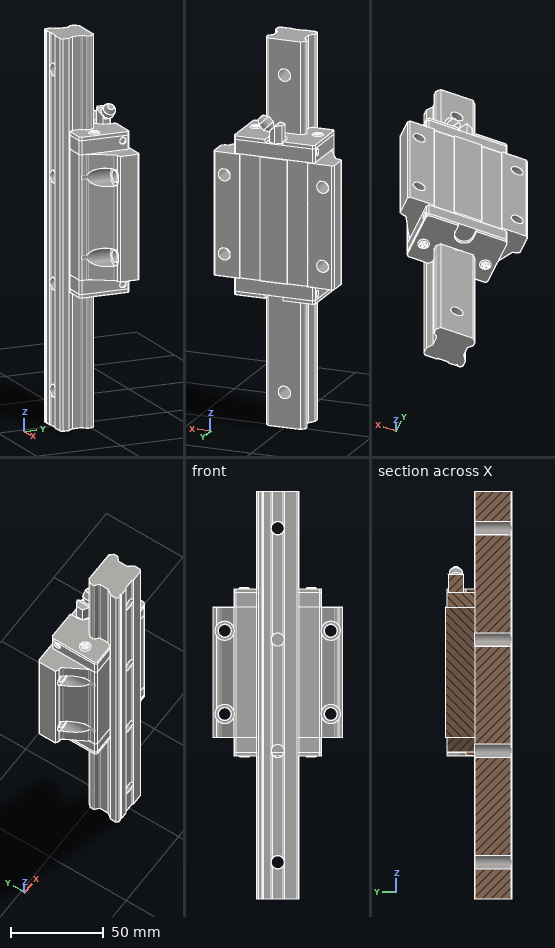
import cadquery as cq
import math


rail_length = 220.0
rail_height = 20.2
rail_half_width = 11.5
rail_top_half_width = 9.5
rail_waist_half_width = 9.0
rail_base_chamfer = 1.0
base_side_top_y = 4.6
waist_bottom_y = 8.0
waist_top_y = 13.5
head_side_bottom_y = 15.6
head_side_top_y = 18.0
head_corner_radius = 0.9
rail_waist_radius = 1.0

rail_hole_diameter = 7.0
rail_hole_count = 4
rail_hole_pitch = 60.0

base_groove_half_width = 3.5
base_groove_floor_half_width = 2.9
base_groove_depth = 0.55
mark_x = -8.1
mark_half_width = 0.5
mark_depth = 0.7

carriage_z = 12.3
block_length = 70.5
block_back_y = 36.0
flange_half_width = 35.0
flange_bottom_y = 23.5
flange_toe_half_width = 31.2
body_half_width = 23.5
body_bottom_y = 5.7
flank_bottom_y = 10.1
edge_chamfer = 1.0
flange_bottom_chamfer_width = 2.0
flank_top_radius = 1.8
flank_bottom_radius = 1.8

relief_inner_x = 8.0
relief_outer_x = 19.8
relief_depth = 0.7

mount_hole_x = 28.5
mount_hole_half_pitch = 22.5
mount_hole_diameter = 6.8
spotface_diameter = 10.3
spotface_floor_y = flange_bottom_y + 0.5

cap_length = 8.0
cap_back_y = 35.2
cap_corner_chamfer = 1.0
side_hole_diameter = 3.7
side_hole_y = 31.2
side_hole_depth = 1.0
side_hole_inset = 5.0

seal_thickness = 2.0
screw_x = 18.0
screw_y = 16.7
screw_radius = 3.0
screw_top_radius = 2.2
screw_height = 0.7
cross_length = 3.0
cross_width = 0.9

nipple_y = 30.4
nipple_notch_radius = 5.3
hex_corner_radius = 4.2
hex_height = 8.0
spout_start_height = 1.0
spout_neck_radius = 1.8
spout_head_radius = 3.5
spout_tip_radius = 1.8
spout_neck_end = 4.8
spout_head_start = 7.3
spout_head_end = 11.0
spout_length = 13.6

block_half_length = block_length / 2
seal_inner_offset = block_half_length + cap_length
seal_outer_offset = seal_inner_offset + seal_thickness


def mirrored_outline(half):
    """Close a right-hand outline with its mirror image about the YZ plane."""
    return half + [(-x, y) for x, y in reversed(half)]


def extrude_outline(half, z_start, length):
    plane = cq.Workplane("XY").workplane(offset=z_start)
    return plane.polyline(mirrored_outline(half)).close().extrude(length)


def y_cylinder(x, z, radius, y_start, y_end):
    return cq.Workplane(cq.Solid.makeCylinder(
        radius, y_end - y_start, cq.Vector(x, y_start, z), cq.Vector(0, 1, 0)))


def box_between(x_range, y_range, z_range):
    size = [high - low for low, high in (x_range, y_range, z_range)]
    corner = (x_range[0], y_range[0], z_range[0])
    return cq.Workplane(cq.Solid.makeBox(*size, cq.Vector(*corner)))


def fillet_long_edges(body, points, z_middle, radius):
    """Round the Z-parallel edge pairs that pass through (+-x, y)."""
    for x, y in points:
        for side in (-1, 1):
            nearest = cq.selectors.NearestToPointSelector((side * x, y, z_middle))
            body = body.edges("|Z").edges(nearest).fillet(radius)
    return body


def rail_blank():
    half = [
        (rail_half_width - rail_base_chamfer, 0),
        (rail_half_width, rail_base_chamfer),
        (rail_half_width, base_side_top_y),
        (rail_waist_half_width, waist_bottom_y),
        (rail_waist_half_width, waist_top_y),
        (rail_half_width, head_side_bottom_y),
        (rail_half_width, head_side_top_y),
        (rail_top_half_width, rail_height),
    ]
    blank = extrude_outline(half, -rail_length / 2, rail_length)
    head_corners = [(rail_half_width, head_side_bottom_y), (rail_half_width, head_side_top_y)]
    blank = fillet_long_edges(blank, head_corners, 0, head_corner_radius)
    waist_corners = [(rail_waist_half_width, waist_top_y)]
    return fillet_long_edges(blank, waist_corners, 0, rail_waist_radius)


def make_rail(blank):
    groove = extrude_outline(
        [(base_groove_half_width, 0), (base_groove_floor_half_width, base_groove_depth)],
        -rail_length / 2, rail_length)
    mark_points = [(mark_x - mark_half_width, 0), (mark_x, mark_depth), (mark_x + mark_half_width, 0)]
    mark = (cq.Workplane("XY").workplane(offset=-rail_length / 2)
            .polyline(mark_points).close().extrude(rail_length))
    rail = blank.cut(groove).cut(mark)
    for index in range(rail_hole_count):
        z = (index - (rail_hole_count - 1) / 2) * rail_hole_pitch
        rail = rail.cut(y_cylinder(0, z, rail_hole_diameter / 2, 0, rail_height))
    return rail


def make_block(rail_space):
    half = [
        (body_half_width - edge_chamfer, body_bottom_y),
        (body_half_width, body_bottom_y + edge_chamfer),
        (body_half_width, flank_bottom_y),
        (flange_toe_half_width, flange_bottom_y),
        (flange_half_width - flange_bottom_chamfer_width, flange_bottom_y),
        (flange_half_width, flange_bottom_y + edge_chamfer),
        (flange_half_width, block_back_y - edge_chamfer),
        (flange_half_width - edge_chamfer, block_back_y),
    ]
    z_range = (carriage_z - block_half_length, carriage_z + block_half_length)
    block = extrude_outline(half, z_range[0], block_length)
    block = fillet_long_edges(
        block, [(flange_toe_half_width, flange_bottom_y)], carriage_z, flank_top_radius)
    block = fillet_long_edges(
        block, [(body_half_width, flank_bottom_y)], carriage_z, flank_bottom_radius)
    block = block.cut(rail_space)

    relief_y = (block_back_y - relief_depth, block_back_y)
    for x_range in ((-relief_outer_x, -relief_inner_x), (relief_inner_x, relief_outer_x)):
        block = block.cut(box_between(x_range, relief_y, z_range))

    for x in (-mount_hole_x, mount_hole_x):
        for z_offset in (-mount_hole_half_pitch, mount_hole_half_pitch):
            z = carriage_z + z_offset
            block = block.cut(y_cylinder(x, z, mount_hole_diameter / 2, 0, block_back_y))
            block = block.cut(y_cylinder(x, z, spotface_diameter / 2, 0, spotface_floor_y))
    return block


def end_plate(inner_offset, thickness):
    """Plate with the carriage end outline, above the middle of the carriage."""
    half = [
        (body_half_width - cap_corner_chamfer, body_bottom_y),
        (body_half_width, body_bottom_y + cap_corner_chamfer),
        (body_half_width, cap_back_y - cap_corner_chamfer),
        (body_half_width - cap_corner_chamfer, cap_back_y),
    ]
    return extrude_outline(half, carriage_z + inner_offset, thickness)


def at_end(body, end):
    """Leave a body at the upper end, or mirror it to the lower end of the carriage."""
    if end > 0:
        return body
    return body.mirror("XY", (0, 0, carriage_z))


def make_cap(rail_space, end):
    cap = end_plate(block_half_length, cap_length).cut(rail_space)
    hole_z = carriage_z + block_half_length + side_hole_inset
    for side in (-1, 1):
        hole = cq.Solid.makeCylinder(
            side_hole_diameter / 2, side_hole_depth,
            cq.Vector(side * body_half_width, side_hole_y, hole_z), cq.Vector(-side, 0, 0))
        cap = cap.cut(cq.Workplane(hole))
    return at_end(cap, end)


def screw_head(x):
    """Tapered screw head with a cross recess, standing on the seal."""
    base_z = carriage_z + seal_outer_offset
    head = cq.Workplane(cq.Solid.makeCone(
        screw_radius, screw_top_radius, screw_height, cq.Vector(x, screw_y, base_z)))
    for x_size, y_size in ((cross_length, cross_width), (cross_width, cross_length)):
        slot = cq.Workplane("XY", origin=(x, screw_y, base_z)).rect(x_size, y_size)
        head = head.cut(slot.extrude(screw_height))
    return head


def make_seal(rail_space, end):
    seal = end_plate(seal_inner_offset, seal_thickness).cut(rail_space)
    z_range = (carriage_z + seal_inner_offset, carriage_z + seal_outer_offset)
    notch_x = (-nipple_notch_radius, nipple_notch_radius)
    round_end = cq.Workplane(cq.Solid.makeCylinder(
        nipple_notch_radius, seal_thickness, cq.Vector(0, nipple_y, z_range[0])))
    seal = seal.cut(box_between(notch_x, (nipple_y, cap_back_y), z_range)).cut(round_end)
    for x in (-screw_x, screw_x):
        seal = seal.union(screw_head(x))
    return at_end(seal, end)


def make_nipple():
    """Hexagon with half its top cut at 45 degrees, and a spout leaning toward +X."""
    base_z = carriage_z + seal_inner_offset
    face_z = carriage_z + seal_outer_offset
    top_z = face_z + hex_height
    hexagon = (cq.Workplane("XY", origin=(0, nipple_y, base_z))
               .transformed(rotate=(0, 0, 30))
               .polygon(6, 2 * hex_corner_radius)
               .extrude(top_z - base_z))
    slope = (cq.Workplane("XZ", origin=(0, nipple_y - hex_corner_radius, 0))
             .moveTo(0, top_z)
             .lineTo(hex_corner_radius, top_z)
             .lineTo(hex_corner_radius, top_z - hex_corner_radius)
             .close()
             .extrude(-2 * hex_corner_radius))
    lean = math.sqrt(0.5)
    spout_plane = cq.Plane(
        origin=(0, nipple_y, face_z + spout_start_height), xDir=(lean, 0, -lean), normal=(0, -1, 0))
    spout = (cq.Workplane(spout_plane)
             .polyline([
                 (0, 0),
                 (spout_neck_radius, 0),
                 (spout_neck_radius, spout_neck_end),
                 (spout_head_radius, spout_head_start),
                 (spout_head_radius, spout_head_end),
                 (spout_tip_radius, spout_length),
                 (0, spout_length)])
             .close()
             .revolve(360, (0, 0), (0, 1)))
    return hexagon.cut(slope).union(spout)


rail_profile = rail_blank()
rail = make_rail(rail_profile)
block = make_block(rail_profile)
caps = [make_cap(rail_profile, end) for end in (-1, 1)]
seals = [make_seal(rail_profile, end) for end in (-1, 1)]
nipple = make_nipple()

bodies = [rail, block, *caps, *seals, nipple]
result = cq.Compound.makeCompound([body.solids().val() for body in bodies])